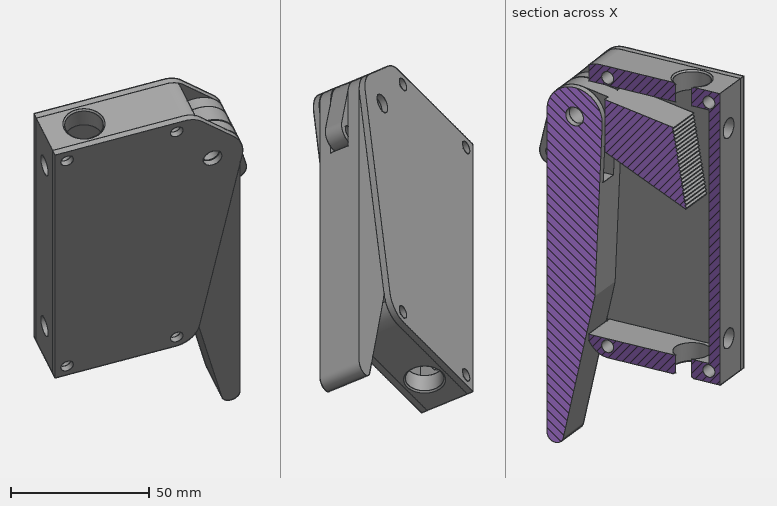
import cadquery as cq
import math

TOTAL_WIDTH = 22.2
PLATE_THICK = 2.5
INNER_WIDTH = TOTAL_WIDTH - 2 * PLATE_THICK
HANDLE_WIDTH = 16.9
LATCH_WIDTH = 7.0
SLOT_WIDTH = 7.5
SLOT_START = 4.8

HOUSING_HEIGHT = 116.4
CORNER_RADIUS = 9.3
TAPER_ANGLE = math.radians(11.2)
PIVOT_Y, PIVOT_Z = 60.7, 93.1
HUB_RADIUS = 11.6
PIVOT_DIAMETER = 7.1
SCREW_DIAMETER = 4.8
SCREW_INSET = 4.7
SCREW_SPACING_Y = 42.2

FRAME_DEPTH = 54.8
END_WALL = 7.8
BACK_WALL = 4.7
BOLT_HOLE_DIAMETER = 14.0
BOLT_HOLE_Y = 15.2
BOLT_HOLE_CHAMFER = 0.6
MOUNT_HOLE_DIAMETER = 7.8
MOUNT_HOLE_INSET = 16.3

HANDLE_DROP = 38.8
HANDLE_TIP_RADIUS = 3.5
HANDLE_ANGLE = math.radians(12.5)
KNEE_Z = 23.3
SLOT_BOTTOM_Z = 68.3

NOSE_Y, NOSE_Z = 71.7, 75.3
NOSE_RADIUS = 5.0
LINK_HOLE_DIAMETER = 4.8
LATCH_ANGLE = math.radians(9)
HEAD_TOP_Y = 19.2
TOOTH_COUNT = 23
TOOTH_STEP_Y, TOOTH_STEP_Z = 0.25, 1.4
ROOT_STEP_Y, ROOT_STEP_Z = 0.56, 0.8
HEAD_BACK_Y = 48.1

LEFT_X = -TOTAL_WIDTH / 2
INNER_X = LEFT_X + PLATE_THICK


def polar(center, radius, angle):
    """Point at an angle measured from +Y towards +Z."""
    return (center[0] + radius * math.cos(angle), center[1] + radius * math.sin(angle))


def yz_plane(x):
    return cq.Workplane("YZ", origin=(x, 0, 0))


def tangent_angle(first, first_radius, second, second_radius):
    """Angle of the normal, at both circles, of the tangent on the right going from first to second."""
    dy = second[0] - first[0]
    dz = second[1] - first[1]
    offset = math.acos((first_radius - second_radius) / math.hypot(dy, dz))
    return math.atan2(dz, dy) - offset


def drill(body, points, diameter):
    """Drill holes along X right through a body."""
    cutter = yz_plane(LEFT_X).pushPoints(points).circle(diameter / 2).extrude(TOTAL_WIDTH)
    return body.cut(cutter)


PIVOT = (PIVOT_Y, PIVOT_Z)
SCREWS = [
    (y, z)
    for y in (SCREW_INSET, SCREW_INSET + SCREW_SPACING_Y)
    for z in (SCREW_INSET, HOUSING_HEIGHT - SCREW_INSET)
]


def housing_profile(x, width):
    bevel_start = polar(PIVOT, HUB_RADIUS, math.pi / 4)
    taper_end = polar(PIVOT, HUB_RADIUS, -TAPER_ANGLE)
    top_corner_y = sum(bevel_start) - HOUSING_HEIGHT
    bottom_corner_y = taper_end[0] - taper_end[1] * math.tan(TAPER_ANGLE)
    blank = (
        yz_plane(x)
        .moveTo(0, 0)
        .lineTo(0, HOUSING_HEIGHT)
        .lineTo(top_corner_y, HOUSING_HEIGHT)
        .lineTo(*bevel_start)
        .threePointArc(polar(PIVOT, HUB_RADIUS, 0), taper_end)
        .lineTo(bottom_corner_y, 0)
        .close()
        .extrude(width)
    )
    for corner in ((bottom_corner_y, 0), (top_corner_y, HOUSING_HEIGHT)):
        nearest = cq.selectors.NearestToPointSelector((x + width / 2, *corner))
        blank = blank.edges("|X").edges(nearest).fillet(CORNER_RADIUS)
    return blank


def make_plate(x):
    plate = drill(housing_profile(x, PLATE_THICK), SCREWS, SCREW_DIAMETER)
    return drill(plate, [PIVOT], PIVOT_DIAMETER)


def make_frame():
    outline = housing_profile(INNER_X, INNER_WIDTH)
    envelope = cq.Workplane().box(INNER_WIDTH, FRAME_DEPTH, HOUSING_HEIGHT, centered=(True, False, False))
    cavity_height = HOUSING_HEIGHT - 2 * END_WALL
    cavity = cq.Workplane(origin=(0, BACK_WALL, END_WALL)).box(
        INNER_WIDTH, FRAME_DEPTH, cavity_height, centered=(True, False, False)
    )
    frame = outline.intersect(envelope).cut(cavity)
    bolt_hole = cq.Workplane(origin=(0, BOLT_HOLE_Y, 0)).circle(BOLT_HOLE_DIAMETER / 2)
    bolt_hole = bolt_hole.extrude(HOUSING_HEIGHT)
    frame = frame.cut(bolt_hole)
    frame = frame.faces("<Z or >Z").edges("%CIRCLE").chamfer(BOLT_HOLE_CHAMFER)
    for z in (MOUNT_HOLE_INSET, HOUSING_HEIGHT - MOUNT_HOLE_INSET):
        hole = cq.Workplane("XZ", origin=(0, 0, z)).circle(MOUNT_HOLE_DIAMETER / 2).extrude(-BACK_WALL)
        frame = frame.cut(hole)
    return drill(frame, SCREWS, SCREW_DIAMETER)


def make_handle():
    tip = (PIVOT_Y + HUB_RADIUS - HANDLE_TIP_RADIUS, HANDLE_TIP_RADIUS - HANDLE_DROP)
    inner = polar(tip, HANDLE_TIP_RADIUS, math.pi + HANDLE_ANGLE)
    knee = (inner[0] - (KNEE_Z - inner[1]) * math.tan(HANDLE_ANGLE), KNEE_Z)
    hub_angle = tangent_angle(PIVOT, HUB_RADIUS, knee, 0)
    handle = (
        yz_plane(INNER_X)
        .moveTo(PIVOT_Y + HUB_RADIUS, PIVOT_Z)
        .lineTo(PIVOT_Y + HUB_RADIUS, tip[1])
        .threePointArc(polar(tip, HANDLE_TIP_RADIUS, -math.pi / 2), inner)
        .lineTo(*knee)
        .lineTo(*polar(PIVOT, HUB_RADIUS, hub_angle))
        .threePointArc(polar(PIVOT, HUB_RADIUS, math.pi / 2), (PIVOT_Y + HUB_RADIUS, PIVOT_Z))
        .close()
        .extrude(HANDLE_WIDTH)
    )
    slot = cq.Workplane(origin=(INNER_X + SLOT_START, 0, SLOT_BOTTOM_Z)).box(
        SLOT_WIDTH, PIVOT_Y + HUB_RADIUS, HOUSING_HEIGHT - SLOT_BOTTOM_Z, centered=False
    )
    return drill(handle.cut(slot), [PIVOT], PIVOT_DIAMETER)


def make_latch():
    nose = (NOSE_Y, NOSE_Z)
    nose_top = tangent_angle(nose, NOSE_RADIUS, PIVOT, HUB_RADIUS)
    nose_under = 2 * math.atan2(NOSE_Z - PIVOT_Z, NOSE_Y - PIVOT_Y) - nose_top
    nose_tip = (nose_top + nose_under) / 2
    arm_start = polar(PIVOT, HUB_RADIUS, math.pi / 2 + LATCH_ANGLE)
    head_top = (HEAD_TOP_Y, arm_start[1] - (arm_start[0] - HEAD_TOP_Y) * math.tan(LATCH_ANGLE))
    teeth = []
    for i in range(TOOTH_COUNT):
        crest_y = head_top[0] - i * TOOTH_STEP_Y
        crest_z = head_top[1] - i * TOOTH_STEP_Z
        teeth.append((crest_y, crest_z))
        teeth.append((crest_y + ROOT_STEP_Y, crest_z - ROOT_STEP_Z))
    outline = (
        cq.Workplane("YZ")
        .moveTo(*arm_start)
        .threePointArc(polar(PIVOT, HUB_RADIUS, math.pi / 4), polar(PIVOT, HUB_RADIUS, nose_top))
        .lineTo(*polar(nose, NOSE_RADIUS, nose_top))
        .threePointArc(polar(nose, NOSE_RADIUS, nose_tip), polar(nose, NOSE_RADIUS, nose_under))
        .lineTo(*polar(PIVOT, HUB_RADIUS, nose_under))
        .polyline(teeth[::-1], includeCurrent=True)
        .close()
    )
    full_width = outline.extrude(HANDLE_WIDTH).translate((INNER_X, 0, 0))
    web = cq.Workplane(origin=(INNER_X + SLOT_START, 0, 0)).box(
        LATCH_WIDTH, NOSE_Y + NOSE_RADIUS, HOUSING_HEIGHT, centered=False
    )
    head = cq.Workplane(origin=(INNER_X, 0, 0)).box(HANDLE_WIDTH, HEAD_BACK_Y, HOUSING_HEIGHT, centered=False)
    latch = full_width.intersect(web.union(head))
    latch = drill(latch, [PIVOT], PIVOT_DIAMETER)
    return drill(latch, [nose], LINK_HOLE_DIAMETER)


plates = [make_plate(x) for x in (LEFT_X, -INNER_X)]
frame = make_frame()
handle = make_handle()
latch = make_latch()
result = cq.Compound.makeCompound(
    [*(plate.val() for plate in plates), frame.val(), handle.val(), latch.val()]
)